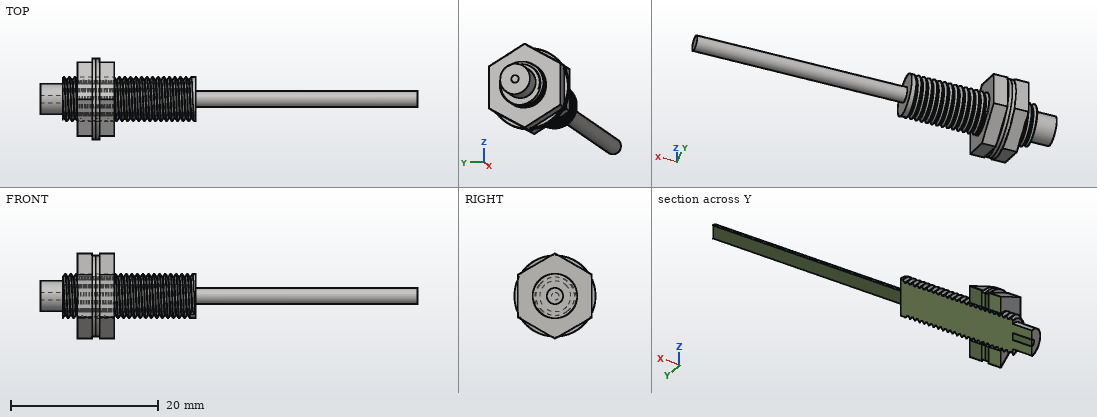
import cadquery as cq
import math

tip_length = 3.0
thread_length = 18.0
housing_end = tip_length + thread_length
total_length = 51.0
nut_start = 5.0
nut_thickness = 2.0
washer_thickness = 0.5
washer_count = 2

tip_diameter = 4.2
thread_diameter = 6.0
cable_diameter = 2.2
pin_diameter = 1.0
pin_depth = tip_length
washer_diameter = 11.0
nut_across_flats = 10.0
nut_across_corners = nut_across_flats / math.cos(math.pi / 6)

pitches_per_shank = 24
thread_pitch = thread_length / pitches_per_shank
groove_depth = 0.4
groove_mouth_width = 0.7
groove_root_width = 0.1
groove_start = 2.25
groove_turns = 24.4
cutter_overshoot = 0.02


def cylinder(start, length, diameter):
    """Solid cylinder along +X from the given station."""
    return cq.Workplane("YZ", origin=(start, 0, 0)).circle(diameter / 2).extrude(length)


def thread_groove():
    """Helical cutter with a trapezoidal section, swept about the X axis."""
    crest_radius = thread_diameter / 2
    root_radius = crest_radius - groove_depth
    outer_radius = crest_radius + cutter_overshoot
    flank_slope = (groove_mouth_width - groove_root_width) / 2 / groove_depth
    outer_half = groove_mouth_width / 2 + flank_slope * cutter_overshoot
    root_half = groove_root_width / 2

    path = cq.Wire.makeHelix(thread_pitch, thread_pitch * groove_turns, root_radius)
    cutter = (
        cq.Workplane("XZ")
        .polyline([
            (root_radius, -root_half),
            (outer_radius, -outer_half),
            (outer_radius, outer_half),
            (root_radius, root_half),
        ])
        .close()
        .sweep(cq.Workplane(path), isFrenet=True)
    )
    cutter = cutter.rotate((0, 0, 0), (0, 1, 0), 90).rotate((0, 0, 0), (1, 0, 0), 180)
    return cutter.translate((groove_start, 0, 0))


def make_housing():
    """Threaded shank with a plain tip and a blind bore for the pin."""
    shank = cylinder(tip_length, thread_length, thread_diameter).cut(thread_groove())
    tip = cylinder(0, tip_length, tip_diameter)
    return shank.union(tip).cut(cylinder(0, pin_depth, pin_diameter))


def make_nut(start):
    """Hexagonal nut with two corners on the Z axis."""
    blank = (
        cq.Workplane("YZ", origin=(start, 0, 0))
        .transformed(rotate=(0, 0, 90))
        .polygon(6, nut_across_corners)
        .extrude(nut_thickness)
    )
    return blank.cut(cylinder(start, nut_thickness, thread_diameter))


def make_washer(start):
    """Flat washer fitting around the thread crests."""
    disc = cylinder(start, washer_thickness, washer_diameter)
    return disc.cut(cylinder(start, washer_thickness, thread_diameter))


housing = make_housing()
pin = cylinder(0, pin_depth, pin_diameter)
cable = cylinder(housing_end, total_length - housing_end, cable_diameter)

washers_start = nut_start + nut_thickness
washers_end = washers_start + washer_count * washer_thickness
nuts = [make_nut(start) for start in (nut_start, washers_end)]
washers = [make_washer(washers_start + i * washer_thickness) for i in range(washer_count)]

bodies = [housing, pin, cable, *nuts, *washers]
result = cq.Compound.makeCompound([body.val() for body in bodies])